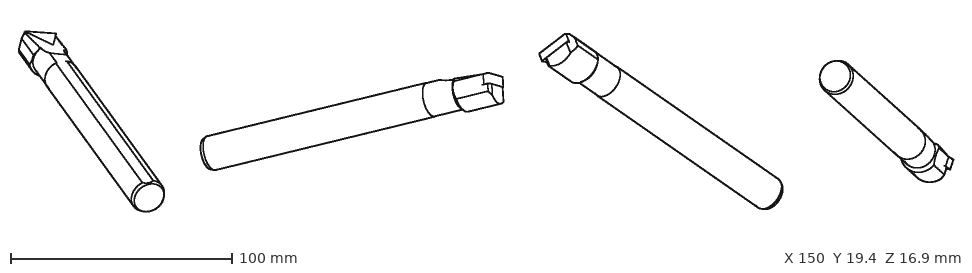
import cadquery as cq
import math

bar_length = 150.0
shank_radius = 8.0
neck_radius = 7.8
flat_height = 7.5
shank_start = 35.8
shank_step_length = 0.5
end_chamfer_length = 1.8
end_chamfer_depth = 0.7

head_radius = 9.1
head_shift_y = 0.1
head_shift_z = -0.3
head_end = 20.4
head_slope = 1.8
inner_flat_offset = 8.4
outer_flat_offset = 8.1
inner_chamfer = 1.3
outer_chamfer = 2.5
outer_bevel_length = 0.5
outer_bevel_width = 0.7
facet_angle = 45.0

roll_angle = 17.0
rise_angle = 5.0
rake_height = 3.6
rake_straight_end = 21.0
rake_runout = 29.0
rake_runout_height = 7.8

insert_side = 16.5
insert_thickness = 4.8
insert_nose_radius = 0.5
insert_tip_offset = 10.2
lead_angle = 2.5

clearance = 30.0

roll = math.radians(roll_angle)
rise = math.radians(rise_angle)
lead = math.radians(lead_angle)
roll_up = cq.Vector(0, math.sin(roll), math.cos(roll))
roll_side = cq.Vector(0, -math.cos(roll), math.sin(roll))
along_bar = cq.Vector(1, 0, 0)

rake_along = along_bar * math.cos(rise) + roll_up * math.sin(rise)
rake_normal = roll_up * math.cos(rise) - along_bar * math.sin(rise)
rake_plane = cq.Plane(origin=roll_up * rake_height, xDir=rake_along, normal=rake_normal)
rake_side_plane = cq.Plane(origin=(0, 0, 0), xDir=along_bar, normal=roll_side)


def front_edge(across):
    """Distance along the rake face of the front edge, at a given place across it."""
    return (insert_tip_offset - across) * math.tan(lead)


def make_shank():
    """Neck and shank turned as one."""
    outline = [
        (0, 0),
        (0, neck_radius),
        (shank_start - shank_step_length, neck_radius),
        (shank_start, shank_radius),
        (bar_length - end_chamfer_length, shank_radius),
        (bar_length, shank_radius - end_chamfer_depth),
        (bar_length, 0),
    ]
    return cq.Workplane("XY").polyline(outline).close().revolve(360, (0, 0), (1, 0))


def make_head():
    """Enlarged round head, off the shank axis, whose back edge slopes 45 degrees down to the neck."""
    outline = [
        (0, 0),
        (0, head_radius),
        (head_end - head_slope, head_radius),
        (head_end, head_radius - head_slope),
        (head_end, 0),
    ]
    centred = cq.Workplane("XY").polyline(outline).close().revolve(360, (0, 0), (1, 0))
    return centred.translate((0, head_shift_y, head_shift_z))


def make_head_envelope():
    """Prism square to the rake face: front face, front chamfers and two side flats."""
    inner_corner = inner_flat_offset - inner_chamfer
    chamfer_corner = outer_chamfer - outer_flat_offset
    bevel_corner = chamfer_corner + outer_bevel_width
    chamfer_start = front_edge(bevel_corner) + outer_bevel_length
    outline = [
        (front_edge(inner_corner), inner_corner),
        (front_edge(inner_corner) + inner_chamfer, inner_flat_offset),
        (bar_length + clearance, inner_flat_offset),
        (bar_length + clearance, -outer_flat_offset),
        (chamfer_start + outer_chamfer, -outer_flat_offset),
        (chamfer_start, chamfer_corner),
        (front_edge(bevel_corner), bevel_corner),
    ]
    return cq.Workplane(rake_plane).polyline(outline).close().extrude(clearance, both=True)


def make_facet_cutter():
    """Block removing the head outside a sloping facet tangent to the neck."""
    return (
        cq.Workplane("XY")
        .box(head_end, clearance, clearance, centered=(False, True, False))
        .translate((0, 0, neck_radius))
        .rotate((0, 0, 0), (1, 0, 0), facet_angle)
    )


def make_rake_cutter():
    """Space above the rake face, ending in a tangent arc that runs out in the top flat."""
    def height_at(x):
        return rake_height + x * math.tan(rise)

    return (
        cq.Workplane(rake_side_plane)
        .moveTo(-clearance, height_at(-clearance))
        .lineTo(rake_straight_end, height_at(rake_straight_end))
        .tangentArcPoint((rake_runout, rake_runout_height), relative=False)
        .lineTo(rake_runout, clearance)
        .lineTo(-clearance, clearance)
        .close()
        .extrude(clearance, both=True)
    )


def make_insert():
    """Equilateral insert, its top face flush with the rake face."""
    first_angle = -math.pi / 2 + lead
    second_angle = first_angle + math.pi / 3
    corners = [(0, insert_tip_offset)]
    for angle in (first_angle, second_angle):
        along = insert_side * math.cos(angle)
        across = insert_tip_offset + insert_side * math.sin(angle)
        corners.append((along, across))
    blank = cq.Workplane(rake_plane).polyline(corners).close().extrude(-insert_thickness)
    corner_edges = cq.selectors.ParallelDirSelector(rake_normal)
    return blank.edges(corner_edges).fillet(insert_nose_radius)


def make_holder(insert):
    """Bar with head, rake face, top flat and a matching pocket for the insert."""
    head = make_head().cut(make_facet_cutter())
    top_flat_cutter = (
        cq.Workplane("XY")
        .box(bar_length, clearance, clearance, centered=(False, True, False))
        .translate((0, 0, flat_height))
    )
    return (
        make_shank()
        .union(head)
        .intersect(make_head_envelope())
        .cut(top_flat_cutter)
        .cut(make_rake_cutter())
        .cut(insert)
    )


insert = make_insert()
holder = make_holder(insert)
result = cq.Compound.makeCompound([*holder.solids().vals(), *insert.solids().vals()])